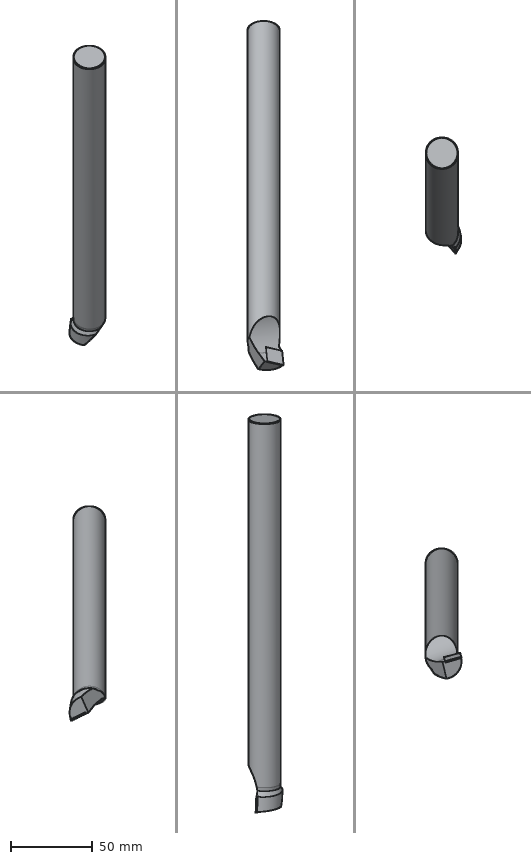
import cadquery as cq
import math

LENGTH = 251.2
SHANK_RADIUS = 10.0
TOP_CHAMFER = 0.5

NECK_TOP = 16.0
NECK_BOTTOM = 13.5
NECK_RADIUS = 9.8
FLARE_BOTTOM = 11.0
FLARE_TILT = 4.0
HEAD_RADIUS = 11.3
HEAD_OFFSET_X = -0.3
HEAD_OVERRUN = 2.5
APPROACH_ANGLE = 5.0
CLEARANCE_ANGLE = 7.0
END_GAP = 0.5
HEEL_START_Z = 15.5
HEEL_END_X = -1.0

FLUTE_RADIUS = 24.0
FLUTE_RUNOUT_Z = 7.0
FLUTE_TILT = 17.0
OVERCUT = 50.2

TIP_X = -12.8
INSERT_CORNER_ANGLE = 80.0
INSERT_EDGE = 10.5
INSERT_THICKNESS = 1.0
NOSE_RADIUS = 0.5
NOSE_BISECTOR = APPROACH_ANGLE + INSERT_CORNER_ANGLE / 2


def circle_at(z, radius, x=0.0, tilt=0.0):
    """Circle whose plane rises toward +X by the tilt, in degrees."""
    slope = math.radians(tilt)
    normal = cq.Vector(-math.sin(slope), 0, math.cos(slope))
    return cq.Wire.makeCircle(radius, cq.Vector(x, 0, z), normal)


def make_shank():
    """Plain round bar above the neck, chamfered at its free end."""
    bar = cq.Workplane("XY", origin=(0, 0, NECK_TOP)).circle(SHANK_RADIUS).extrude(LENGTH - NECK_TOP)
    return bar.faces(">Z").chamfer(TOP_CHAMFER)


def head_blank():
    """Neck, flare and leaning round, running past the end face."""
    head_circle = circle_at(FLARE_BOTTOM, HEAD_RADIUS, HEAD_OFFSET_X, FLARE_TILT)
    drop = FLARE_BOTTOM + HEAD_OVERRUN
    lean = drop * math.tan(math.radians(APPROACH_ANGLE))
    end_circle = circle_at(FLARE_BOTTOM - drop, HEAD_RADIUS, HEAD_OFFSET_X - lean)
    neck_circle = circle_at(NECK_BOTTOM, NECK_RADIUS)
    neck = cq.Solid.makeLoft([circle_at(NECK_TOP, SHANK_RADIUS), neck_circle], True)
    flare = cq.Solid.makeLoft([neck_circle, head_circle], True)
    leaning_round = cq.Solid.makeLoft([head_circle, end_circle], True)
    return cq.Workplane(neck).union(cq.Workplane(flare)).union(cq.Workplane(leaning_round))


def end_face_cutter():
    """Everything below the end face, which rises toward -Y."""
    return (
        cq.Workplane("XY")
        .box(2 * OVERCUT, 2 * OVERCUT, OVERCUT, centered=(True, True, False))
        .translate((0, 0, -OVERCUT))
        .rotate((0, 0, 0), (1, 0, 0), -CLEARANCE_ANGLE)
        .translate((0, 0, END_GAP))
    )


def heel_cutter():
    """Everything beyond the sloping heel on the +X side."""
    run = OVERCUT * (SHANK_RADIUS - HEEL_END_X) / HEEL_START_Z
    return (
        cq.Workplane("XZ")
        .polyline([
            (HEEL_END_X - run, -OVERCUT),
            (HEEL_END_X + run, OVERCUT),
            (HEEL_END_X + run + OVERCUT, -OVERCUT),
        ])
        .close()
        .extrude(OVERCUT, both=True)
    )


def flute_cutter():
    """Flat on the Y = 0 plane with a round runout, tilted about Y."""
    profile = (
        cq.Workplane("YZ")
        .moveTo(0, -OVERCUT)
        .lineTo(0, 0)
        .radiusArc((FLUTE_RADIUS, FLUTE_RADIUS), FLUTE_RADIUS)
        .lineTo(FLUTE_RADIUS, -OVERCUT)
        .close()
    )
    return (
        profile.extrude(OVERCUT, both=True)
        .rotate((0, 0, 0), (0, 1, 0), FLUTE_TILT)
        .translate((0, 0, FLUTE_RUNOUT_Z))
    )


def insert_outline():
    """Rhombus on the Y = 0 plane, placed so that its nose touches the two cutting limits."""
    half_corner = math.radians(INSERT_CORNER_ANGLE / 2)
    nose_setback = NOSE_RADIUS / math.sin(half_corner) * math.cos(math.radians(NOSE_BISECTOR))
    corner_x = TIP_X + NOSE_RADIUS - nose_setback
    corner_z = NOSE_RADIUS - nose_setback
    long_step = INSERT_EDGE * math.cos(math.radians(APPROACH_ANGLE))
    short_step = INSERT_EDGE * math.sin(math.radians(APPROACH_ANGLE))
    far_step = long_step + short_step
    return (
        cq.Workplane("XZ", origin=(corner_x, 0, corner_z))
        .polyline([(0, 0), (long_step, short_step), (far_step, far_step), (short_step, long_step)])
        .close()
    )


def make_insert():
    """Rhombic plate with a rounded nose, its sides relieved toward -Y."""
    plate = insert_outline().extrude(INSERT_THICKNESS, taper=CLEARANCE_ANGLE)
    return plate.edges("not(#Y or |X or |Z)").edges("<X").fillet(NOSE_RADIUS)


def make_holder(insert):
    holder = make_shank().union(head_blank())
    space_above_insert = insert_outline().extrude(-OVERCUT)
    for cutter in (end_face_cutter(), heel_cutter(), flute_cutter(), space_above_insert, insert):
        holder = holder.cut(cutter)
    return holder


insert = make_insert()
holder = make_holder(insert)
result = cq.Compound.makeCompound([holder.val(), insert.val()])